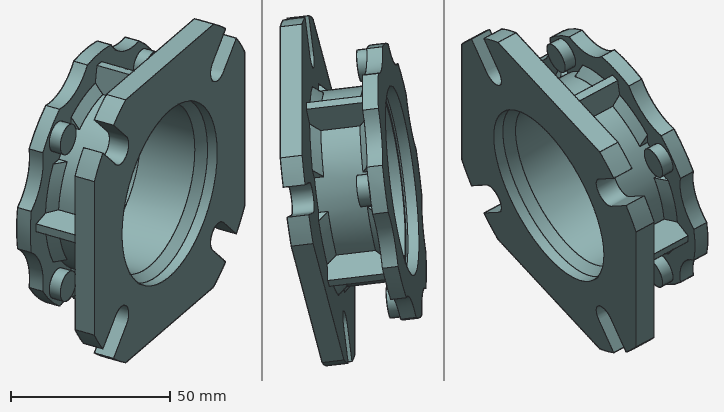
import cadquery as cq
import math

total_length = 30.5
front_flange_thickness = 5.0
square_flange_thickness = 7.0
neck_start = front_flange_thickness
neck_end = total_length - square_flange_thickness
neck_length = neck_end - neck_start

quarter_count = 4
diagonal_angle = 45.0

neck_radius = 31.0
bore_radius = 28.0
seat_radius = 30.0
buried_radius = (bore_radius + neck_radius) / 2
seat_depth = 3.5
front_seat_chamfer = 0.5
rear_cone_half_angle = 30.0

front_flange_radius = 43.5
scallop_count = 8
scallop_radius = 17.8
scallop_half_angle = 12.65

square_side = 95.0
square_corner_radius = 55.0
slot_width = 9.5
slot_center_radius = 43.25

rib_tip_radius = 39.75
rib_tip_width = 2.8
rib_taper_angle = 10.0
gusset_size = 3.0
gusset_half_width = 17.7
boss_radius = 5.0
boss_height = 4.0
boss_center_radius = 37.5


def section(x):
    """Sketch plane across the X axis: local x is Y, local y is Z."""
    return cq.Workplane("YZ", origin=(x, 0, 0))


def around_axis(shape, count, start_angle=0.0):
    """Union of equally spaced copies of a shape about the X axis."""
    copies = None
    for i in range(count):
        angle = start_angle + i * 360.0 / count
        copy = shape.rotate((0, 0, 0), (1, 0, 0), angle)
        copies = copy if copies is None else copies.union(copy)
    return copies


def front_flange():
    half_angle = math.radians(scallop_half_angle)
    half_chord = front_flange_radius * math.sin(half_angle)
    chord_distance = front_flange_radius * math.cos(half_angle)
    center_distance = chord_distance + math.sqrt(scallop_radius**2 - half_chord**2)
    scallop = section(0).center(center_distance, 0).circle(scallop_radius).extrude(front_flange_thickness)
    disc = section(0).circle(front_flange_radius).extrude(front_flange_thickness)
    scallop_pitch = 360.0 / scallop_count
    return disc.cut(around_axis(scallop, scallop_count, scallop_pitch / 2))


def square_flange():
    plate = section(neck_end).rect(square_side, square_side).extrude(square_flange_thickness)
    corner_limit = section(neck_end).circle(square_corner_radius).extrude(square_flange_thickness)
    slot_end = section(neck_end).center(slot_center_radius, 0).circle(slot_width / 2)
    slot_end = slot_end.extrude(square_flange_thickness)
    opening_length = square_corner_radius - slot_center_radius
    slot_opening = (
        section(neck_end)
        .center(slot_center_radius + opening_length / 2, 0)
        .rect(opening_length, slot_width)
        .extrude(square_flange_thickness)
    )
    slot = slot_end.union(slot_opening)
    return plate.intersect(corner_limit).cut(around_axis(slot, quarter_count, diagonal_angle))


def neck():
    return section(neck_start).circle(neck_radius).extrude(neck_length)


def ribs():
    taper_growth = (rib_tip_radius - buried_radius) * math.tan(math.radians(rib_taper_angle))
    tip_half_width = rib_tip_width / 2
    root_half_width = tip_half_width + taper_growth
    rib = (
        section(neck_start)
        .polyline(
            [
                (-root_half_width, buried_radius),
                (root_half_width, buried_radius),
                (tip_half_width, rib_tip_radius),
                (-tip_half_width, rib_tip_radius),
            ]
        )
        .close()
        .extrude(neck_length)
    )
    return around_axis(rib, quarter_count)


def gussets():
    """Conical fillers at both neck ends, kept only beside each rib."""
    outer_radius = neck_radius + gusset_size
    profile = [
        (neck_start, buried_radius),
        (neck_start, outer_radius),
        (neck_start + gusset_size, neck_radius),
        (neck_end - gusset_size, neck_radius),
        (neck_end, outer_radius),
        (neck_end, buried_radius),
    ]
    ring = cq.Workplane("XY").polyline(profile).close().revolve(360, (0, 0, 0), (1, 0, 0))
    band = (
        section(neck_start)
        .center(0, outer_radius / 2)
        .rect(2 * gusset_half_width, outer_radius)
        .extrude(neck_length)
    )
    return ring.intersect(around_axis(band, quarter_count))


def bosses():
    boss = section(neck_start).center(boss_center_radius, 0).circle(boss_radius).extrude(boss_height)
    return around_axis(boss, quarter_count, diagonal_angle)


def bore():
    """Through bore with a chamfer-bottomed front seat and a conical lead-out to the rear seat."""
    front_seat_floor = seat_depth + front_seat_chamfer
    rear_seat_start = total_length - seat_depth
    cone_length = (seat_radius - bore_radius) / math.tan(math.radians(rear_cone_half_angle))
    profile = [
        (0, 0),
        (0, seat_radius),
        (seat_depth, seat_radius),
        (front_seat_floor, seat_radius - front_seat_chamfer),
        (front_seat_floor, bore_radius),
        (rear_seat_start - cone_length, bore_radius),
        (rear_seat_start, seat_radius),
        (total_length, seat_radius),
        (total_length, 0),
    ]
    return cq.Workplane("XY").polyline(profile).close().revolve(360, (0, 0, 0), (1, 0, 0))


body = front_flange().union(square_flange()).union(neck())
body = body.union(gussets()).union(ribs()).union(bosses())
result = body.cut(bore())